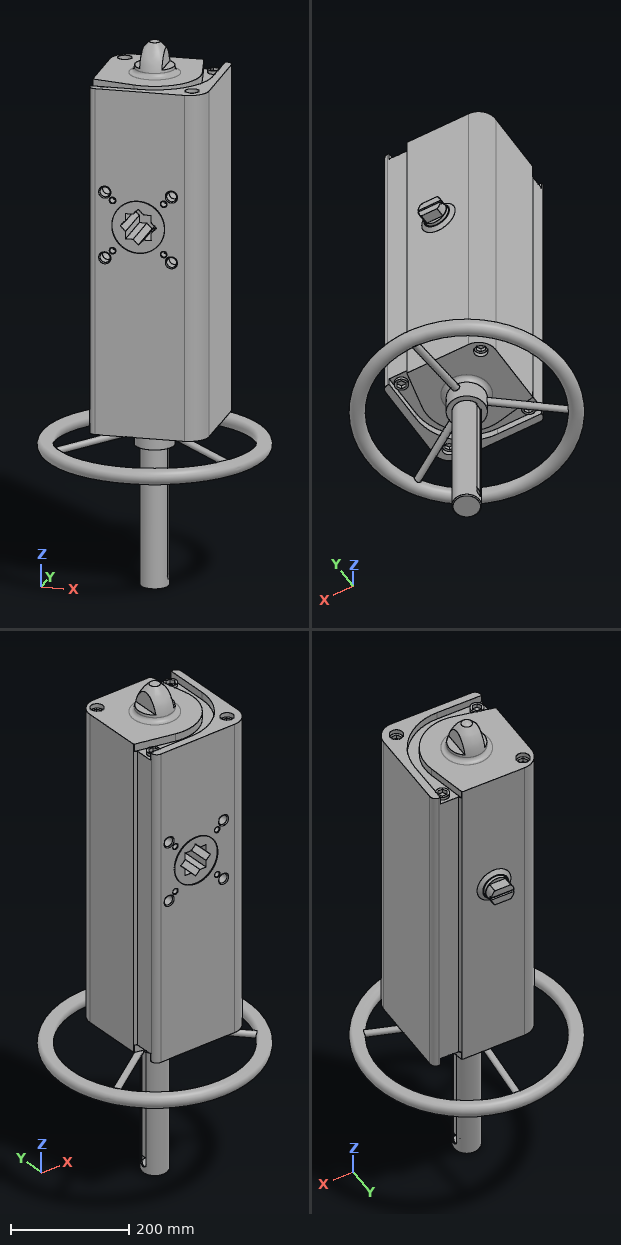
import cadquery as cq
import math

TOTAL_HEIGHT = 970

HOUSING_BOTTOM = 297.0
HOUSING_LENGTH = 614.0
HOUSING_TOP = HOUSING_BOTTOM + HOUSING_LENGTH
NEAR_SIDE = 93.0
FAR_SIDE = 115.0
STEP_SIDE = 87
STEP_START = 62.0
STEP_END = 66.0
LARGE_CORNER_RADIUS = 34.0
SMALL_CORNER_RADIUS = 12.0

CHANNEL_DEPTH = 15.0
CHANNEL_INNER_RADIUS = 81.0
CHANNEL_OUTER_RADIUS = 101.0
CHANNEL_INNER_SLOPE = math.radians(12)

SCREW_NEAR = 70.0
SCREW_FAR = 87.0
SCREW_HEAD_DIAMETER = 24.0
SCREW_HEAD_SINK = 9.0
SCREW_SOCKET_DIAMETER = 17.0
SCREW_SOCKET_DEPTH = 8.0

BOSS_DIAMETER = 70.0
BOSS_BASE_DIAMETER = 92.0
BOSS_HEIGHT = 9.0
INDICATOR_SHOULDER = 14.0
INDICATOR_THICKNESS = 39
INDICATOR_DOME_MID = (26.0, 35.0)
INDICATOR_TIP_RADIUS = 10
INDICATOR_TIP_HEIGHT = 4.0

DRIVE_Z = HOUSING_TOP - 241.0
SOCKET_DISC_DIAMETER = 92.0
SOCKET_DISC_SINK = 2.0
STAR_SQUARE = 45.0
STAR_DEPTH = 97
LARGE_HOLE_OFFSET = 58
LARGE_HOLE_DIAMETER = 17.0
LARGE_HOLE_MOUTH = 21.0
SMALL_HOLE_OFFSET = 45.0
SMALL_HOLE_DIAMETER = 10
SMALL_HOLE_MOUTH = 12.0
MOUNT_HOLE_DEPTH = 19
DRILL_POINT_ANGLE = math.radians(59)

REAR_CONE_DIAMETER = 66.0
REAR_CONE_TOP_DIAMETER = 50.0
REAR_CONE_HEIGHT = 6.0
REAR_COLLAR_DIAMETER = 47.0
REAR_COLLAR_HEIGHT = 12.0
REAR_SHAFT_DIAMETER = 45.0
REAR_SHAFT_LENGTH = 30.0
REAR_SHAFT_FLATS = 32.0
REAR_SLOT_WIDTH = 4.0
REAR_SLOT_DEPTH = 5.0

RIM_OUTER_DIAMETER = 400.0
RIM_THICKNESS = 28.0
RIM_RADIUS = (RIM_OUTER_DIAMETER - RIM_THICKNESS) / 2
RIM_Z = 251.0
HUB_DIAMETER = BOSS_DIAMETER
HUB_TOP = HOUSING_BOTTOM - BOSS_HEIGHT
SPOKE_COUNT = 3
SPOKE_PITCH = 360 / SPOKE_COUNT
FIRST_SPOKE_ANGLE = 90
RIM_SEAM_ANGLE = FIRST_SPOKE_ANGLE - SPOKE_PITCH / 2
SPOKE_DIAMETER = 14.0
SPOKE_HUB_Z = 278.5
TUBE_DIAMETER = 50.0
TUBE_WALL = 2.4
TUBE_CHAMFER = 2.0
TUBE_FLOOR = 12.0
SPINDLE_END_Z = 32.0
SLOT_WIDTH = 14.0
SLOT_BOTTOM = 14.0


def cylinder(diameter, bottom, top, x=0, y=0):
    return cq.Workplane("XY", (x, y, bottom)).circle(diameter / 2).extrude(top - bottom)


def housing_block():
    """Extruded block with a step on two sides and four rounded corners."""
    outline = [
        (-NEAR_SIDE, NEAR_SIDE), (STEP_START, NEAR_SIDE), (STEP_END, STEP_SIDE), (FAR_SIDE, STEP_SIDE),
        (FAR_SIDE, -FAR_SIDE), (-STEP_SIDE, -FAR_SIDE), (-STEP_SIDE, -STEP_END), (-NEAR_SIDE, -STEP_START),
    ]
    block = cq.Workplane("XY", (0, 0, HOUSING_BOTTOM)).polyline(outline).close().extrude(HOUSING_LENGTH)
    for x, y, radius in [
        (-NEAR_SIDE, NEAR_SIDE, LARGE_CORNER_RADIUS), (FAR_SIDE, -FAR_SIDE, LARGE_CORNER_RADIUS),
        (FAR_SIDE, STEP_SIDE, SMALL_CORNER_RADIUS), (-STEP_SIDE, -FAR_SIDE, SMALL_CORNER_RADIUS),
    ]:
        middle = cq.Vector(x, y, HOUSING_BOTTOM + HOUSING_LENGTH / 2)
        block = block.edges(cq.selectors.NearestToPointSelector(middle)).fillet(radius)
    return block


def channel():
    """Channel cut into the top face, open at the -X and +Y sides."""
    slope = CHANNEL_INNER_SLOPE
    open_end = FAR_SIDE
    tangent_x = CHANNEL_INNER_RADIUS * math.sin(slope)
    tangent_y = CHANNEL_INNER_RADIUS * math.cos(slope)
    wall_end = tangent_y - (open_end - tangent_x) * math.tan(slope)
    inner_mid = CHANNEL_INNER_RADIUS * math.sqrt(0.5)
    outer_mid = CHANNEL_OUTER_RADIUS * math.sqrt(0.5)
    return (
        cq.Workplane("XY", (0, 0, HOUSING_TOP - CHANNEL_DEPTH))
        .moveTo(-open_end, -wall_end)
        .lineTo(-tangent_x, -tangent_y)
        .threePointArc((inner_mid, -inner_mid), (tangent_y, tangent_x))
        .lineTo(wall_end, open_end)
        .lineTo(CHANNEL_OUTER_RADIUS, open_end)
        .lineTo(CHANNEL_OUTER_RADIUS, 0)
        .threePointArc((outer_mid, -outer_mid), (0, -CHANNEL_OUTER_RADIUS))
        .lineTo(-open_end, -CHANNEL_OUTER_RADIUS)
        .close()
        .extrude(CHANNEL_DEPTH)
    )


def boss():
    """Boss on the top face with a concave flare at its base."""
    radius = BOSS_DIAMETER / 2
    base_radius = BOSS_BASE_DIAMETER / 2
    bend = math.sqrt(0.5)
    flare_mid = (
        base_radius - (base_radius - radius) * bend,
        BOSS_HEIGHT * (1 - bend),
    )
    return (
        cq.Workplane("XZ", (0, 0, HOUSING_TOP))
        .lineTo(base_radius, 0)
        .threePointArc(flare_mid, (radius, BOSS_HEIGHT))
        .lineTo(0, BOSS_HEIGHT)
        .close()
        .revolve(360, (0, 0), (0, 1))
    )


def at_both_ends(top_shape):
    """The shape at the top face together with its mirror image at the bottom face."""
    middle = HOUSING_BOTTOM + HOUSING_LENGTH / 2
    return top_shape.add(top_shape.mirror("XY", (0, 0, middle))).combine()


def screw_places():
    return [(x, y) for x in (-SCREW_NEAR, SCREW_FAR) for y in (SCREW_NEAR, -SCREW_FAR)]


def cut_end_details(block):
    """Channels and sunk socket screws in both end faces."""
    head_top = HOUSING_TOP - SCREW_HEAD_SINK
    places = screw_places()
    heads = cq.Workplane("XY", (0, 0, HOUSING_TOP - CHANNEL_DEPTH)).pushPoints(places)
    heads = heads.circle(SCREW_HEAD_DIAMETER / 2).extrude(CHANNEL_DEPTH - SCREW_HEAD_SINK)
    sinks = cq.Workplane("XY", (0, 0, head_top)).pushPoints(places)
    sinks = sinks.circle(SCREW_HEAD_DIAMETER / 2).extrude(SCREW_HEAD_SINK)
    sockets = cq.Workplane("XY", (0, 0, head_top)).pushPoints(places)
    sockets = sockets.polygon(6, SCREW_SOCKET_DIAMETER).extrude(-SCREW_SOCKET_DEPTH)
    block = block.cut(at_both_ends(channel()))
    block = block.union(at_both_ends(heads))
    return block.cut(at_both_ends(sinks)).cut(at_both_ends(sockets))


def indicator():
    """Revolved dome with a shallow conical tip, flattened on its -X and +X sides."""
    radius = BOSS_DIAMETER / 2
    dome_height = TOTAL_HEIGHT - HOUSING_TOP
    dome = (
        cq.Workplane("XZ", (0, 0, HOUSING_TOP))
        .moveTo(0, BOSS_HEIGHT)
        .lineTo(radius, BOSS_HEIGHT)
        .threePointArc(INDICATOR_DOME_MID, (INDICATOR_TIP_RADIUS, dome_height - INDICATOR_TIP_HEIGHT))
        .lineTo(0, dome_height)
        .close()
        .revolve(360, (0, 0), (0, 1))
    )
    shoulder_z = HOUSING_TOP + INDICATOR_SHOULDER
    slab = cq.Workplane("XY", (0, 0, shoulder_z)).rect(INDICATOR_THICKNESS, BOSS_DIAMETER).extrude(dome_height)
    return dome.intersect(slab.union(cylinder(BOSS_DIAMETER, HOUSING_TOP, shoulder_z)))


def drilled_hole(x, z, diameter, mouth):
    """Blind hole with a chamfered mouth and a conical bottom in the -Y face."""
    radius = diameter / 2
    point_depth = MOUNT_HOLE_DEPTH + radius / math.tan(DRILL_POINT_ANGLE)
    return (
        cq.Workplane("XY", (x, -FAR_SIDE, z))
        .lineTo(mouth / 2, 0)
        .lineTo(radius, mouth / 2 - radius)
        .lineTo(radius, MOUNT_HOLE_DEPTH)
        .lineTo(0, point_depth)
        .close()
        .revolve(360, (0, 0), (0, 1))
    )


def cut_front_drive(block):
    """Sunk disc with an eight-pointed star socket, ringed by mounting holes."""
    face = cq.Workplane("XZ", (0, -FAR_SIDE, DRIVE_Z))
    block = block.cut(face.circle(SOCKET_DISC_DIAMETER / 2).extrude(-SOCKET_DISC_SINK))
    for turn in (0, 45):
        square = face.transformed(rotate=(0, 0, turn)).rect(STAR_SQUARE, STAR_SQUARE)
        block = block.cut(square.extrude(-STAR_DEPTH))
    for offset, diameter, mouth in [
        (LARGE_HOLE_OFFSET, LARGE_HOLE_DIAMETER, LARGE_HOLE_MOUTH),
        (SMALL_HOLE_OFFSET, SMALL_HOLE_DIAMETER, SMALL_HOLE_MOUTH),
    ]:
        for side in (-1, 1):
            for level in (-1, 1):
                hole = drilled_hole(side * offset, DRIVE_Z + level * offset, diameter, mouth)
                block = block.cut(hole)
    return block


def rear_drive():
    """Slotted shaft end with two flats, on a collar with a conical base."""
    seat = (
        cq.Workplane("XY", (0, NEAR_SIDE, DRIVE_Z))
        .lineTo(REAR_CONE_DIAMETER / 2, 0)
        .lineTo(REAR_CONE_TOP_DIAMETER / 2, REAR_CONE_HEIGHT)
        .lineTo(REAR_COLLAR_DIAMETER / 2, REAR_CONE_HEIGHT)
        .lineTo(REAR_COLLAR_DIAMETER / 2, REAR_COLLAR_HEIGHT)
        .lineTo(0, REAR_COLLAR_HEIGHT)
        .close()
        .revolve(360, (0, 0), (0, 1))
    )
    face = cq.Workplane("XZ", (0, NEAR_SIDE, DRIVE_Z))
    shaft = face.circle(REAR_SHAFT_DIAMETER / 2).extrude(-REAR_SHAFT_LENGTH)
    flats = face.rect(REAR_SHAFT_DIAMETER, REAR_SHAFT_FLATS).extrude(-REAR_SHAFT_LENGTH)
    slot = face.workplane(offset=-REAR_SHAFT_LENGTH).rect(REAR_SHAFT_DIAMETER, REAR_SLOT_WIDTH)
    slot = slot.extrude(REAR_SLOT_DEPTH)
    return seat.union(shaft.intersect(flats)).cut(slot)


def make_housing():
    block = cut_front_drive(cut_end_details(housing_block()))
    return block.union(at_both_ends(boss())).union(indicator()).union(rear_drive())


def spindle_tube():
    """Thin-walled slotted tube around the spindle, hollow below the spindle end."""
    radius = TUBE_DIAMETER / 2
    tube = cylinder(TUBE_DIAMETER, 0, HUB_TOP).faces("<Z").chamfer(TUBE_CHAMFER)
    spindle_diameter = TUBE_DIAMETER - 2 * TUBE_WALL
    hollow = cylinder(spindle_diameter, TUBE_FLOOR, SPINDLE_END_Z)
    spindle = cylinder(spindle_diameter, SPINDLE_END_Z, HUB_TOP)
    end_center = SLOT_BOTTOM + SLOT_WIDTH / 2
    slot = (
        cq.Workplane("YZ", (-radius, 0, 0))
        .moveTo(-SLOT_WIDTH / 2, RIM_Z)
        .lineTo(-SLOT_WIDTH / 2, end_center)
        .threePointArc((0, SLOT_BOTTOM), (SLOT_WIDTH / 2, end_center))
        .lineTo(SLOT_WIDTH / 2, RIM_Z)
        .close()
        .extrude(TUBE_DIAMETER)
    )
    return tube.cut(hollow).cut(slot.cut(spindle))


def spoke(angle):
    """Round bar sloping down from inside the hub to the centre line of the rim."""
    hub_radius = HUB_DIAMETER / 2
    slope = (SPOKE_HUB_Z - RIM_Z) / (RIM_RADIUS - hub_radius)
    start_radius = hub_radius - SPOKE_DIAMETER
    start = cq.Vector(start_radius, 0, SPOKE_HUB_Z + slope * SPOKE_DIAMETER)
    run = cq.Vector(RIM_RADIUS, 0, RIM_Z) - start
    bar = cq.Workplane(cq.Solid.makeCylinder(SPOKE_DIAMETER / 2, run.Length, start, run))
    return bar.rotate((0, 0, 0), (0, 0, 1), angle)


def make_handwheel():
    rim = cq.Workplane(cq.Solid.makeTorus(RIM_RADIUS, RIM_THICKNESS / 2, cq.Vector(0, 0, RIM_Z)))
    rim = rim.rotate((0, 0, 0), (0, 0, 1), RIM_SEAM_ANGLE)
    wheel = cylinder(HUB_DIAMETER, RIM_Z, HUB_TOP).union(spindle_tube())
    for index in range(SPOKE_COUNT):
        wheel = wheel.union(spoke(FIRST_SPOKE_ANGLE + index * SPOKE_PITCH))
    return wheel.union(rim)


housing = make_housing()
handwheel = make_handwheel()

result = cq.Compound.makeCompound([housing.solids().val(), handwheel.solids().val()])